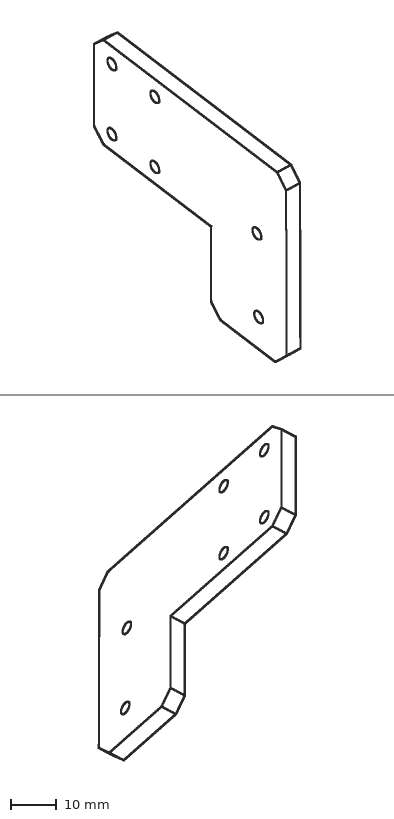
import cadquery as cq

length = 65.6
thickness = 4.0
height = 54.5

arm_height = 29.85
leg_width = 25.8
leg_left = length - leg_width
arm_bottom = height - arm_height

corner_cut = 3.2
leg_corner_cut_x = 3.8
leg_corner_cut_z = 4.2

right_edge_lean = 0.1

hole_diameter = 3.0
arm_hole_left = 6.1
arm_hole_spacing_x = 14.6
arm_hole_top_inset = 5.05
arm_hole_spacing_z = 20.0
upper_leg_hole = (55.5, 32.7)
lower_leg_hole = (56.1, 9.2)


def make_plate():
    """L-shaped plate with its outer corners cut off; front face on Y = 0."""
    outline = [
        (leg_left + corner_cut, 0),
        (length - leg_corner_cut_x, 0),
        (length, leg_corner_cut_z),
        (length - right_edge_lean, height - corner_cut),
        (length - corner_cut, height),
        (corner_cut, height),
        (0, height - corner_cut),
        (0, arm_bottom + corner_cut),
        (corner_cut, arm_bottom),
        (leg_left, arm_bottom),
        (leg_left, corner_cut),
    ]
    return cq.Workplane("XZ").polyline(outline).close().extrude(-thickness)


def make_hole_cutters():
    """Cylinders for the four arm holes and the two leg holes."""
    arm_hole_top = height - arm_hole_top_inset
    centers = [
        (x, z)
        for x in (arm_hole_left, arm_hole_left + arm_hole_spacing_x)
        for z in (arm_hole_top, arm_hole_top - arm_hole_spacing_z)
    ]
    centers += [upper_leg_hole, lower_leg_hole]
    return cq.Workplane("XZ").pushPoints(centers).circle(hole_diameter / 2).extrude(-thickness)


result = make_plate().cut(make_hole_cutters())